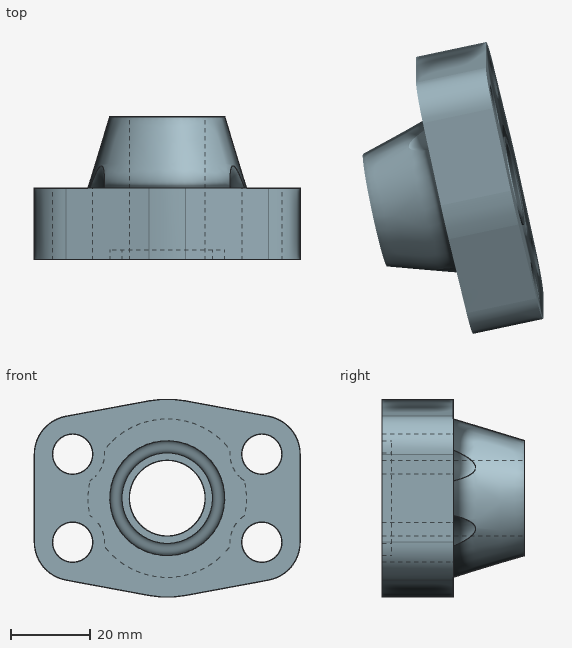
import cadquery as cq
import math

flange_length = 67.0
flange_height = 49.9
flange_thickness = 18.0
corner_radius = 9.8
crown_radius = 24.9
flank_slope_degrees = 10.5

total_depth = 36.0
hub_base_diameter = 39.9
hub_end_diameter = 29.0

bore_diameter = 19.0
groove_outer_diameter = 28.9
groove_inner_diameter = 22.8
groove_depth = 2.4

bolt_spacing_x = 47.65
bolt_spacing_z = 22.2
bolt_hole_diameter = 10.05
bolt_head_clearance_diameter = 16.0

hub_length = total_depth - flange_thickness
bolt_centres = [
    (side_x * bolt_spacing_x / 2, side_z * bolt_spacing_z / 2)
    for side_x in (-1, 1)
    for side_z in (-1, 1)
]


def cylinder(diameter, start_y, length, centre=(0, 0)):
    """Cylinder along +Y from start_y, centred at the given (x, z)."""
    x, z = centre
    return cq.Workplane(cq.Solid.makeCylinder(
        diameter / 2, length, cq.Vector(x, start_y, z), cq.Vector(0, 1, 0)
    ))


def make_flange():
    """Six-sided plate with rounded ends and arcs at the top and bottom crowns."""
    slope = math.radians(flank_slope_degrees)
    half_length = flange_length / 2
    half_height = flange_height / 2
    peak = half_height + crown_radius * (1 / math.cos(slope) - 1)
    shoulder = peak - half_length * math.tan(slope)
    outline = [
        (0, peak),
        (half_length, shoulder),
        (half_length, -shoulder),
        (0, -peak),
        (-half_length, -shoulder),
        (-half_length, shoulder),
    ]
    plate = cq.Workplane("XZ").polyline(outline).close().extrude(-flange_thickness)
    plate = plate.edges("|Y and (>X or <X)").fillet(corner_radius)
    return plate.edges("|Y and (>Z or <Z)").fillet(crown_radius)


def make_hub():
    """Cone frustum relieved beside each bolt hole."""
    hub = cq.Workplane(cq.Solid.makeCone(
        hub_base_diameter / 2, hub_end_diameter / 2, hub_length,
        cq.Vector(0, flange_thickness, 0), cq.Vector(0, 1, 0),
    ))
    for centre in bolt_centres:
        hub = hub.cut(cylinder(bolt_head_clearance_diameter, flange_thickness, hub_length, centre))
    return hub


def make_seal_groove():
    """Ring-shaped groove in the sealing face."""
    outer = cylinder(groove_outer_diameter, 0, groove_depth)
    return outer.cut(cylinder(groove_inner_diameter, 0, groove_depth))


result = make_flange().union(make_hub())
result = result.cut(cylinder(bore_diameter, 0, total_depth))
result = result.cut(make_seal_groove())
for bolt_centre in bolt_centres:
    result = result.cut(cylinder(bolt_hole_diameter, 0, flange_thickness, bolt_centre))